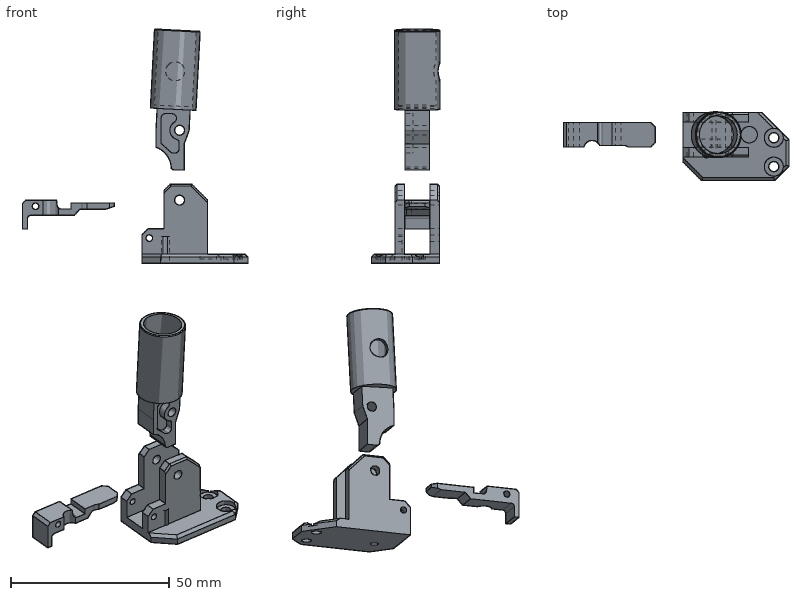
import cadquery as cq
import math


pivot_x = 11.9
pivot_z = 20.0
pivot_diameter = 3.0
latch_pin_diameter = 2.0
link_width = 7.85
link_half = link_width / 2

base_length = 33.5
base_front_y = -14.5
base_thickness = 2.95
base_bevel = 0.95
front_left_cut = 5.9
front_right_cut = 4.5
back_right_cut = 8.6

fork_gap = 8.0
cheek_thickness = 3.0
fork_half_width = fork_gap / 2 + cheek_thickness

lug_height = 11.0
lug_cut = 2.0
latch_pin_x = 2.4
latch_pin_z = 8.0
cheek_left = 6.95
cheek_right = 20.8
cheek_height = 25.0
cheek_left_cut = 2.0
cheek_right_cut = 5.0
cheek_bevel = 0.6

riser_hole_diameter = 2.5
riser_hole_x = 7.4
riser_hole_y = -6.0
riser_hole_top = 8.5

screw_x = 28.7
screw_ys = (-0.95, -10.05)
screw_diameter = 3.1
screw_head_diameter = 6.0
screw_head_depth = 1.5

socket_x = 20.9
socket_diameter = 5.2
socket_depth = 1.5

hub_lift = 22.05
tilt = math.radians(3.0)
tube_diameter = 14.5
tube_bore = 12.0
tube_length = 25.0
tube_floor = 1.0
tube_rim_bevel = 0.3
tube_start = 6.5
tube_offset = -2.4
side_hole_diameter = 6.0
side_hole_height = 12.0

arm_left = 7.5
arm_right = 3.0
arm_bottom = 12.6
toe_right = 1.5
toe_top = 4.3
toe_fillet = 1.0
relief_radius = 7.0
relief_x = -9.7
relief_z = -12.05

pocket_depth = 2.5
pocket_boss_radius = 3.0
pocket_left = -5.85
pocket_right = -0.15
pocket_bottom = -7.25
pocket_knee_z = -4.15
pocket_slope = math.radians(42.0)
pocket_corner = 1.4
pocket_leg_corner = 1.0
lobe_x = -2.45
lobe_z = 3.8

lever_x = -37.65
lever_z = 10.8
lever_length = 29.0
lever_height = 9.2
lever_cut = 1.0
lever_pin_x = 4.15
lever_pin_z = 7.25
foot_thickness = 1.6
foot_fillet = 1.0
block_bottom = 4.4
block_end_top = 10.8
block_end_foot = 11.1
block_end_fillet = 1.2
step_floor = 6.4
step_end = 15.2
tail_top = 8.3
tail_bottom = 6.3
ramp_start = 16.35
ramp_end = 18.1
tip_slope_start = 26.25
tip_bottom = 7.2
tip_corner = 1.5
notch_x = 9.0
notch_radius = 2.6
relief_depth = 0.5
relief_flat_end = 18.85


def xz_plane(x, y, z):
    """Work plane with X right and Z up; a negative extrusion runs towards +Y."""
    return cq.Workplane(cq.Plane(origin=(x, y, z), xDir=(1, 0, 0), normal=(0, -1, 0)))


def y_prism(outline, y_min, y_max):
    return xz_plane(0, y_min, 0).polyline(outline).close().extrude(y_min - y_max)


def y_cylinder(x, z, diameter, y_min, y_max):
    return xz_plane(x, y_min, z).circle(diameter / 2).extrude(y_min - y_max)


def z_cylinder(x, y, diameter, z_min, z_max):
    plane = cq.Workplane("XY", origin=(x, y, z_min))
    return plane.circle(diameter / 2).extrude(z_max - z_min)


def base_plate():
    """Plate with cut corners, bevelled on top except along its left and back edges."""
    outline = [
        (0, fork_half_width),
        (0, base_front_y + front_left_cut),
        (front_left_cut, base_front_y),
        (base_length - front_right_cut, base_front_y),
        (base_length, base_front_y + front_right_cut),
        (base_length, fork_half_width - back_right_cut),
        (base_length - back_right_cut, fork_half_width),
    ]
    plate = cq.Workplane("XY").polyline(outline).close().extrude(base_thickness)
    margin = base_bevel / 2
    return (
        plate.faces(">Z").edges()
        .filter(lambda edge: edge.Center().x > margin)
        .filter(lambda edge: edge.Center().y < fork_half_width - margin)
        .chamfer(base_bevel)
    )


def cheek(y_min, outer_face):
    """Fork wall with its low lug; the upper rim of the outer face is bevelled."""
    outline = [
        (0, 0),
        (0, lug_height - lug_cut),
        (lug_cut, lug_height),
        (cheek_left, lug_height),
        (cheek_left, cheek_height - cheek_left_cut),
        (cheek_left + cheek_left_cut, cheek_height),
        (cheek_right - cheek_right_cut, cheek_height),
        (cheek_right, cheek_height - cheek_right_cut),
        (cheek_right, 0),
    ]
    wall = y_prism(outline, y_min, y_min + cheek_thickness)
    rim_bottom = cheek_height - cheek_right_cut
    return (
        wall.faces(outer_face).edges()
        .filter(lambda edge: edge.Center().z > rim_bottom)
        .chamfer(cheek_bevel)
    )


def fork_pin_holes():
    pivot = y_cylinder(pivot_x, pivot_z, pivot_diameter, -fork_half_width, fork_half_width)
    latch = y_cylinder(latch_pin_x, latch_pin_z, latch_pin_diameter, -fork_half_width, fork_half_width)
    return pivot.union(latch)


def screw_hole(y):
    """Counterbored through hole."""
    hole = z_cylinder(screw_x, y, screw_diameter, 0, base_thickness)
    head_floor = base_thickness - screw_head_depth
    return hole.union(z_cylinder(screw_x, y, screw_head_diameter, head_floor, base_thickness))


def make_base():
    base = base_plate()
    base = base.union(cheek(-fork_half_width, "<Y"))
    base = base.union(cheek(fork_gap / 2, ">Y"))
    base = base.cut(fork_pin_holes())
    for y in screw_ys:
        base = base.cut(screw_hole(y))
    riser = z_cylinder(riser_hole_x, riser_hole_y, riser_hole_diameter, 0, riser_hole_top)
    socket = z_cylinder(socket_x, 0, socket_diameter, base_thickness - socket_depth, base_thickness)
    return base.cut(riser).cut(socket)


def tilted(across, along):
    """X and Z of a point given across and along the tilted tube axis."""
    x = across * math.cos(tilt) + along * math.sin(tilt)
    z = along * math.cos(tilt) - across * math.sin(tilt)
    return (x, z)


def relief_point(angle):
    """Point on the round relief under the arm, at an angle above +X."""
    return (relief_x + relief_radius * math.cos(angle), relief_z + relief_radius * math.sin(angle))


def hub_arm():
    """Arm whose sides are upright below the pivot and tilted with the tube above it."""
    left_bend = arm_left * math.tan(tilt / 2)
    right_bend = -arm_right * math.tan(tilt / 2)
    relief_angle = math.acos((-arm_left - relief_x) / relief_radius)
    toe_left = relief_x + relief_radius
    return (
        xz_plane(0, -link_half, 0)
        .moveTo(-arm_left, left_bend)
        .lineTo(*relief_point(relief_angle))
        .threePointArc(relief_point(relief_angle / 2), relief_point(0))
        .lineTo(toe_left, -arm_bottom + toe_fillet)
        .radiusArc((toe_left + toe_fillet, -arm_bottom), -toe_fillet)
        .lineTo(toe_right, -arm_bottom)
        .lineTo(toe_right, -toe_top)
        .lineTo(arm_right, right_bend)
        .lineTo(*tilted(arm_right, tube_start))
        .lineTo(*tilted(-arm_left, tube_start))
        .close()
        .extrude(-link_width)
    )


def hub_pocket():
    """Spring pocket in the front face, curling around the boss of the pivot hole."""
    lobe_distance = math.hypot(lobe_x, lobe_z)
    lobe_radius = lobe_distance - pocket_boss_radius
    lobe_share = pocket_boss_radius / lobe_distance
    pocket_top = lobe_z + lobe_radius

    leg_distance = pocket_boss_radius + pocket_leg_corner
    leg_x = pocket_right - pocket_leg_corner
    leg_z = -math.sqrt(leg_distance**2 - leg_x**2)
    leg_share = pocket_boss_radius / leg_distance

    foot_x = pocket_left + (pocket_knee_z - pocket_bottom) / math.tan(pocket_slope)
    foot_tangent = pocket_corner * math.tan(pocket_slope / 2)
    slope_end_x = foot_x - foot_tangent * math.cos(pocket_slope)
    slope_end_z = pocket_bottom + foot_tangent * math.sin(pocket_slope)
    return (
        xz_plane(0, -link_half, 0)
        .moveTo(pocket_left, pocket_knee_z)
        .lineTo(pocket_left, pocket_top - pocket_corner)
        .radiusArc((pocket_left + pocket_corner, pocket_top), pocket_corner)
        .lineTo(lobe_x, pocket_top)
        .threePointArc((lobe_x + lobe_radius, lobe_z), (lobe_x * lobe_share, lobe_z * lobe_share))
        .threePointArc((-pocket_boss_radius, 0), (leg_x * leg_share, leg_z * leg_share))
        .radiusArc((pocket_right, leg_z), pocket_leg_corner)
        .lineTo(pocket_right, pocket_bottom + pocket_corner)
        .radiusArc((pocket_right - pocket_corner, pocket_bottom), pocket_corner)
        .lineTo(foot_x + foot_tangent, pocket_bottom)
        .radiusArc((slope_end_x, slope_end_z), pocket_corner)
        .close()
        .extrude(-pocket_depth)
    )


def hub_tube():
    """Cup open at the top, with a round hole through its back wall, leaning about the pivot."""
    tube = z_cylinder(0, 0, tube_diameter, 0, tube_length)
    tube = tube.faces(">Z").edges().chamfer(tube_rim_bevel)
    tube = tube.cut(z_cylinder(0, 0, tube_bore, tube_floor, tube_length))
    tube = tube.cut(y_cylinder(0, side_hole_height, side_hole_diameter, 0, tube_diameter))
    tube = tube.translate((tube_offset, 0, tube_start))
    return tube.rotate((0, 0, 0), (0, 1, 0), math.degrees(tilt))


def make_hub():
    hub = hub_arm().cut(hub_pocket()).union(hub_tube())
    hub = hub.cut(y_cylinder(0, 0, pivot_diameter, -link_half, link_half))
    return hub.translate((pivot_x, 0, pivot_z + hub_lift))


def lever_blank():
    """Side outline of foot, block, step and tail over the full width, with rounded inner corners."""
    wall_lean = math.atan2(block_end_foot - block_end_top, lever_height - step_floor)
    fillet_tangent = block_end_fillet * math.tan((math.pi / 2 - wall_lean) / 2)
    fillet_start_x = block_end_foot - fillet_tangent * math.sin(wall_lean)
    fillet_start_z = step_floor + fillet_tangent * math.cos(wall_lean)
    outline = (
        xz_plane(0, -link_half, 0)
        .moveTo(0, 0)
        .lineTo(0, lever_height - lever_cut)
        .lineTo(lever_cut, lever_height)
        .lineTo(block_end_top, lever_height)
        .lineTo(fillet_start_x, fillet_start_z)
        .radiusArc((block_end_foot + fillet_tangent, step_floor), -block_end_fillet)
        .lineTo(step_end, step_floor)
        .lineTo(step_end, tail_top)
        .lineTo(lever_length, tail_top)
        .lineTo(lever_length, tip_bottom)
        .lineTo(tip_slope_start, tail_bottom)
        .lineTo(ramp_end, tail_bottom)
        .lineTo(ramp_start, block_bottom)
        .lineTo(foot_thickness + foot_fillet, block_bottom)
        .radiusArc((foot_thickness, block_bottom - foot_fillet), -foot_fillet)
        .lineTo(foot_thickness, 0)
        .close()
    )
    return outline.extrude(-link_width)


def front_relief():
    """Shallow cut along the front side from the notch to a rounded run-out."""
    floor_y = -link_half + relief_depth
    run_out = math.sqrt(notch_radius**2 - (notch_radius - relief_depth) ** 2)
    return (
        cq.Workplane("XY")
        .moveTo(notch_x, -link_half)
        .lineTo(notch_x, floor_y)
        .lineTo(relief_flat_end, floor_y)
        .radiusArc((relief_flat_end + run_out, -link_half), notch_radius)
        .close()
        .extrude(lever_height)
    )


def make_lever():
    lever = lever_blank().edges("|Z and >X").chamfer(tip_corner)
    lever = lever.cut(y_cylinder(lever_pin_x, lever_pin_z, latch_pin_diameter, -link_half, link_half))
    notch_y = -link_half - relief_depth
    lever = lever.cut(z_cylinder(notch_x, notch_y, 2 * notch_radius, 0, lever_height))
    lever = lever.cut(front_relief())
    return lever.translate((lever_x, 0, lever_z))


base = make_base()
hub = make_hub()
lever = make_lever()

result = cq.Compound.makeCompound([base.val(), hub.val(), lever.val()])